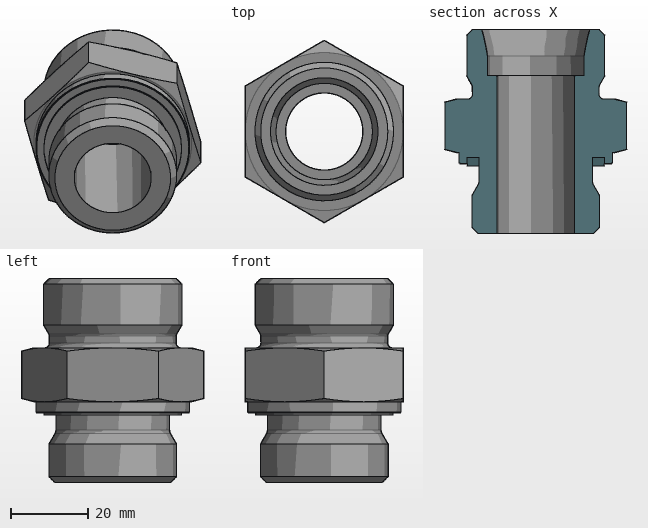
import cadquery as cq
import math

total_height = 53.0

hex_flats = 41.0
hex_bottom = 21.0
hex_height = 14.0
hex_top = hex_bottom + hex_height
hex_corners = hex_flats / math.cos(math.radians(30))
hex_chamfer_angle = 15.0

tube_end_dia = 36.0
tube_end_bottom = 40.9
tube_end_chamfer = 1.5
tube_neck_dia = 33.0
tube_neck_root_radius = 1.2
tube_neck_cone_radius = 1.2

stud_dia = 33.25
stud_top = 9.95
stud_chamfer = 1.6
stud_neck_dia = 29.6
stud_neck_radius = 1.75
thread_runout_angle = 30.0

collar_dia = 39.9
collar_bottom = 18.1
collar_edge_chamfer = 0.2
seal_dia = 35.7
seal_bottom = 17.5
seal_groove_depth = 1.6
seal_top = collar_bottom + seal_groove_depth

bore_dia = 20.0
socket_dia = 25.0
socket_mouth_dia = 27.95
socket_cone_angle = 12.0
socket_depth = 11.9


def cylinder(diameter, bottom, top):
    return cq.Workplane("XY").workplane(offset=bottom).circle(diameter / 2).extrude(top - bottom)


def runout_length(outer_dia, inner_dia):
    """Axial length of the cone between a thread and its neck."""
    return (outer_dia - inner_dia) / 2 / math.tan(math.radians(thread_runout_angle))


def revolve_profile(points):
    return cq.Workplane("XZ").polyline(points).close().revolve(360, (0, 0, 0), (0, 1, 0))


def round_edge_at(body, height, radius):
    """Round the circular edge centred on the axis at the given height."""
    return body.edges("%CIRCLE").edges(cq.selectors.NearestToPointSelector((0, 0, height))).fillet(radius)


def make_hexagon():
    """Hexagonal prism whose corners are turned down at both ends."""
    prism = (
        cq.Workplane("XY").workplane(offset=hex_bottom)
        .polygon(6, hex_corners).extrude(hex_height)
        .rotate((0, 0, 0), (0, 0, 1), 30)
    )
    flat_radius = hex_flats / 2
    outer_radius = hex_corners / 2 + 0.55
    drop = (outer_radius - flat_radius) * math.tan(math.radians(hex_chamfer_angle))
    turned_envelope = revolve_profile([
        (0, hex_bottom),
        (flat_radius, hex_bottom),
        (outer_radius, hex_bottom + drop),
        (outer_radius, hex_top - drop),
        (flat_radius, hex_top),
        (0, hex_top),
    ])
    return prism.intersect(turned_envelope)


def make_tube_end():
    """Tube end with a narrower neck, rounded into the hexagon face."""
    cone_bottom = tube_end_bottom - runout_length(tube_end_dia, tube_neck_dia)
    root_dia = tube_neck_dia + 2 * tube_neck_root_radius
    root_top = hex_top + tube_neck_root_radius
    arc_reach = tube_neck_root_radius * (1 - math.sqrt(0.5))
    tube_end = (
        cq.Workplane("XZ")
        .moveTo(0, hex_top)
        .lineTo(root_dia / 2, hex_top)
        .threePointArc((tube_neck_dia / 2 + arc_reach, hex_top + arc_reach), (tube_neck_dia / 2, root_top))
        .lineTo(tube_neck_dia / 2, cone_bottom)
        .lineTo(tube_end_dia / 2, tube_end_bottom)
        .lineTo(tube_end_dia / 2, total_height - tube_end_chamfer)
        .lineTo(tube_end_dia / 2 - tube_end_chamfer, total_height)
        .lineTo(0, total_height)
        .close()
        .revolve(360, (0, 0, 0), (0, 1, 0))
    )
    return round_edge_at(tube_end, cone_bottom, tube_neck_cone_radius)


def make_stud_end():
    """Stud end with a narrower neck reaching up to the hexagon."""
    cone_top = stud_top + runout_length(stud_dia, stud_neck_dia)
    stud_end = revolve_profile([
        (0, 0),
        (stud_dia / 2 - stud_chamfer, 0),
        (stud_dia / 2, stud_chamfer),
        (stud_dia / 2, stud_top),
        (stud_neck_dia / 2, cone_top),
        (stud_neck_dia / 2, hex_bottom),
        (0, hex_bottom),
    ])
    return round_edge_at(stud_end, cone_top, stud_neck_radius)


def make_collar():
    """Collar with the seal groove in its lower face."""
    collar = cylinder(collar_dia, collar_bottom, hex_bottom)
    collar = collar.faces("<Z").edges().chamfer(collar_edge_chamfer)
    groove = cylinder(seal_dia, collar_bottom, seal_top)
    return collar.cut(groove)


def make_bore():
    """Through bore, wider socket and conical mouth at the tube end."""
    cone_depth = (socket_mouth_dia - socket_dia) / 2 / math.tan(math.radians(socket_cone_angle))
    socket_bottom = total_height - socket_depth
    return revolve_profile([
        (0, 0),
        (bore_dia / 2, 0),
        (bore_dia / 2, socket_bottom),
        (socket_dia / 2, socket_bottom),
        (socket_dia / 2, total_height - cone_depth),
        (socket_mouth_dia / 2, total_height),
        (0, total_height),
    ])


def make_fitting():
    outside = make_hexagon().union(make_tube_end()).union(make_collar()).union(make_stud_end())
    return outside.cut(make_bore())


def make_seal():
    """Seal ring around the stud neck, standing proud of the collar."""
    ring = cylinder(seal_dia, seal_bottom, seal_top)
    return ring.cut(cylinder(stud_neck_dia, seal_bottom, seal_top))


fitting = make_fitting()
seal = make_seal()

result = cq.Compound.makeCompound([fitting.val(), seal.val()])